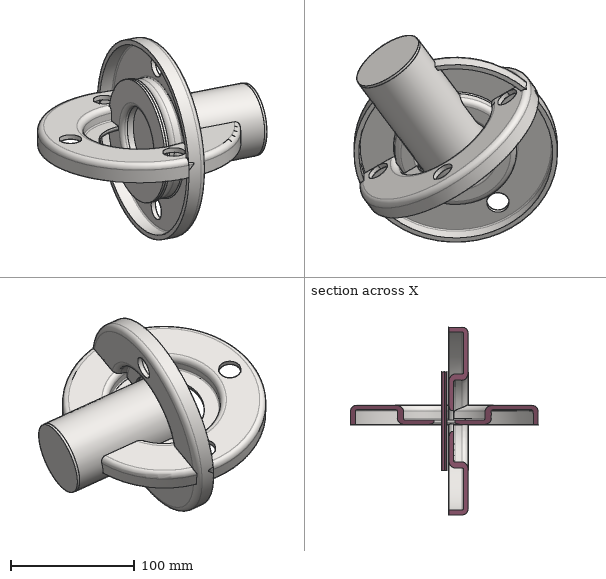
import cadquery as cq
import math


sheet = 4.0
flange_radius = 165.0 / 2
flange_height = 16.0
dish_radius = 91.0 / 2
flange_bore_radius = 65.0 / 2
outer_bend = 5.0
inner_bend = outer_bend - sheet
bore_rim_radius = 2.0
bolt_diameter = 18.0
bolt_circle_radius = 62.5
bolt_count = 4
upright_rim_y = 3.5
level_rim_z = -3.0

collar_radius = 102.0 / 2
collar_thickness = 2.0
collar_gap = 0.2
pipe_radius = 60.3 / 2
bore_radius = 56.3 / 2
flare_outer = 1.5
flare_inner = flare_outer + collar_thickness
flare_radius = bore_radius + flare_inner
bore_floor_y = 9.0
pipe_end_y = 101.0
end_land_radius = 60.0 / 2
end_land_length = 2.2

lap_half_width = bolt_circle_radius

ARC_MIDPOINT = 1 - math.sqrt(0.5)


def disc(radius, bottom, top):
    """Cylinder on the Z axis between two heights."""
    return cq.Workplane("XY").workplane(offset=bottom).circle(radius).extrude(top - bottom)


def circle_edges(radius, height):
    """Selector for the edges at one height, about Z, that fit within a radius."""
    margin = 0.1
    reach = radius + margin
    return cq.selectors.BoxSelector(
        (-reach, -reach, height - margin), (reach, reach, height + margin), boundingbox=True)


def make_flange():
    """Pressed flange on the Z axis, rim edge and dish bottom at Z = 0, dish opening upwards."""
    plate_underside = flange_height - sheet
    dish_outer_radius = dish_radius + sheet

    plate = disc(flange_radius, 0, flange_height).faces(">Z").edges().fillet(outer_bend)
    hollow = disc(flange_radius - sheet, 0, plate_underside).faces(">Z").edges().fillet(inner_bend)
    dish_outside = disc(dish_outer_radius, 0, plate_underside).faces("<Z").edges().fillet(outer_bend)
    dish_inside = disc(dish_radius, sheet, flange_height).faces("<Z").edges().fillet(inner_bend)
    shell = plate.cut(hollow).union(dish_outside).cut(dish_inside)

    shell = shell.edges(circle_edges(dish_radius, flange_height)).fillet(outer_bend)
    shell = shell.edges(circle_edges(dish_outer_radius, plate_underside)).fillet(inner_bend)

    shell = shell.cut(disc(flange_bore_radius, 0, flange_height))
    shell = shell.edges(circle_edges(flange_bore_radius, 0)).fillet(bore_rim_radius)

    bolt_holes = (
        cq.Workplane("XY").polarArray(bolt_circle_radius, 0, 360, bolt_count)
        .circle(bolt_diameter / 2).extrude(flange_height)
    )
    return shell.cut(bolt_holes)


def inner_flare_midpoint(face_y):
    """Midpoint of the inner flare arc that starts on a collar face at face_y."""
    return (bore_radius + flare_inner * ARC_MIDPOINT, face_y + flare_inner * ARC_MIDPOINT)


def make_stub():
    """Blind pipe with a flared collar, revolved about Y; collar face at Y = 0."""
    outer_midpoint = (pipe_radius + flare_outer * ARC_MIDPOINT,
                      collar_thickness + flare_outer * ARC_MIDPOINT)
    land_y = pipe_end_y - end_land_length
    return (
        cq.Workplane("XY")
        .moveTo(flare_radius, 0)
        .lineTo(collar_radius, 0)
        .lineTo(collar_radius, collar_thickness)
        .lineTo(pipe_radius + flare_outer, collar_thickness)
        .threePointArc(outer_midpoint, (pipe_radius, collar_thickness + flare_outer))
        .lineTo(pipe_radius, land_y)
        .lineTo(end_land_radius, land_y)
        .lineTo(end_land_radius, pipe_end_y)
        .lineTo(0, pipe_end_y)
        .lineTo(0, bore_floor_y)
        .lineTo(bore_radius, bore_floor_y)
        .lineTo(bore_radius, flare_inner)
        .threePointArc(inner_flare_midpoint(0), (flare_radius, 0))
        .close()
        .revolve(360, (0, 0, 0), (0, 1, 0))
    )


def make_facing_ring():
    """Ring in front of the collar; its lip fills the flare of the stub down to the bore."""
    back_y = -collar_gap
    front_y = back_y - collar_thickness
    return (
        cq.Workplane("XY")
        .moveTo(flare_radius, front_y)
        .lineTo(collar_radius, front_y)
        .lineTo(collar_radius, back_y)
        .lineTo(flare_radius, back_y)
        .lineTo(flare_radius, 0)
        .threePointArc(inner_flare_midpoint(0), (bore_radius, flare_inner))
        .lineTo(bore_radius, front_y + flare_inner)
        .threePointArc(inner_flare_midpoint(front_y), (flare_radius, front_y))
        .close()
        .revolve(360, (0, 0, 0), (0, 1, 0))
    )


stub = make_stub()
facing_ring = make_facing_ring()

flange = make_flange()
upright_whole = flange.rotate((0, 0, 0), (1, 0, 0), -90).translate((0, upright_rim_y, 0))
level_whole = flange.translate((0, 0, level_rim_z))

lap_reach = 4 * flange_radius
lap_zone = cq.Workplane("XY").box(2 * lap_half_width, lap_reach, lap_reach)
upright_flange = upright_whole.cut(level_whole.intersect(lap_zone))
level_flange = level_whole.cut(upright_whole.cut(lap_zone)).cut(stub).cut(facing_ring)

result = cq.Compound.makeCompound([
    upright_flange.solids().val(),
    level_flange.solids().val(),
    stub.val(),
    facing_ring.val(),
])